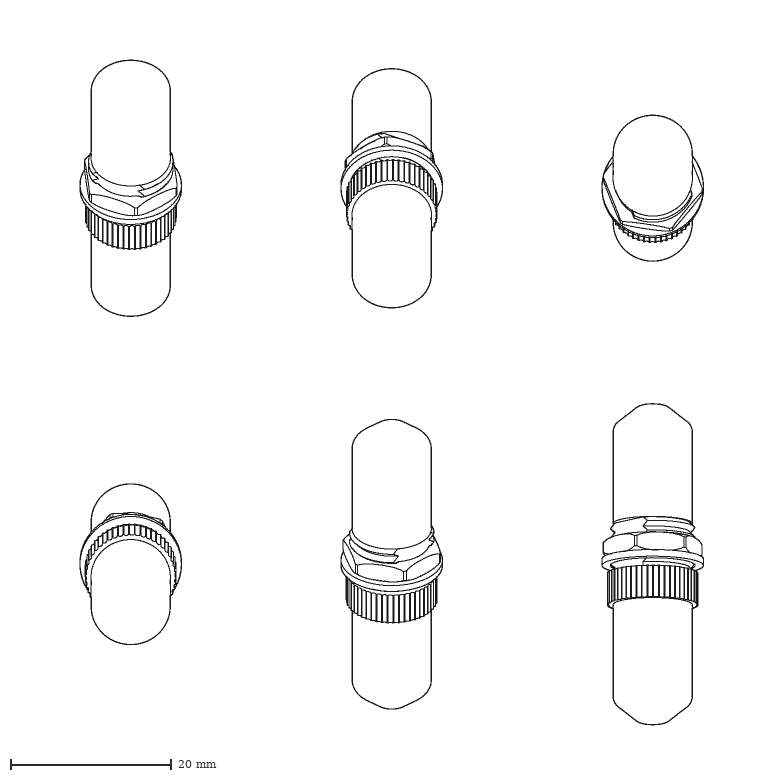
import cadquery as cq
import math


total_length = 40.25
body_length = 10.3
body_bottom = (total_length - body_length) / 2
body_top = body_bottom + body_length
cap_length = body_bottom

cap_radius = 4.95
cap_tip_radius = 1.15
cap_rounding = 1.5
cap_cone_angle = math.radians(39.0)

flange_radius = 5.68
flange_height = 4.0
flute_count = 50
flute_radius = 0.35
flute_depth = 0.15
flange_top = body_bottom + flange_height

thread_radius = 5.27
thread_depth = 0.55
thread_pitch = 1.2
groove_count = 3
core_radius = thread_radius - thread_depth
neck_length = 0.65
flat_half_width = 3.85

washer_bottom = 19.95
washer_thickness = 0.85
washer_diameter = 12.7
nut_bottom = washer_bottom + washer_thickness
nut_height = 2.45
nut_across_flats = 11.0
nut_corner_radius = 6.25
nut_face_radius = thread_radius
nut_bevel_height = 0.55
nut_bevel_bulge = 0.1


def make_cap():
    """Cap with a rounded cone end, open face at Z = 0, tip at +Z."""
    sin_cone = math.sin(cap_cone_angle)
    cos_cone = math.cos(cap_cone_angle)
    half_cone = cap_cone_angle / 2
    half_shoulder = (math.pi / 2 - cap_cone_angle) / 2

    tip_center_z = cap_length - cap_rounding
    tip_middle = (
        cap_tip_radius + cap_rounding * math.sin(half_cone),
        tip_center_z + cap_rounding * math.cos(half_cone),
    )
    cone_top = (
        cap_tip_radius + cap_rounding * sin_cone,
        tip_center_z + cap_rounding * cos_cone,
    )

    shoulder_center_r = cap_radius - cap_rounding
    cone_bottom_r = shoulder_center_r + cap_rounding * sin_cone
    cone_bottom_z = cone_top[1] - (cone_bottom_r - cone_top[0]) * math.tan(cap_cone_angle)
    shoulder_z = cone_bottom_z - cap_rounding * cos_cone
    shoulder_middle = (
        shoulder_center_r + cap_rounding * math.cos(half_shoulder),
        shoulder_z + cap_rounding * math.sin(half_shoulder),
    )

    return (
        cq.Workplane("XZ")
        .lineTo(cap_radius, 0)
        .lineTo(cap_radius, shoulder_z)
        .threePointArc(shoulder_middle, (cone_bottom_r, cone_bottom_z))
        .lineTo(*cone_top)
        .threePointArc(tip_middle, (cap_tip_radius, cap_length))
        .lineTo(0, cap_length)
        .close()
        .revolve(360, (0, 0), (0, 1))
    )


def make_thread():
    """Neck, thread and top bevel, with a flat on the -Y and the +Y side."""
    neck_top = flange_top + neck_length
    outline = [
        (0, flange_top),
        (core_radius, flange_top),
        (core_radius, neck_top),
        (thread_radius, neck_top + thread_depth),
    ]
    top_crest = body_top - thread_depth
    for groove in reversed(range(groove_count)):
        crest_above = top_crest - groove * thread_pitch
        outline += [
            (thread_radius, crest_above - thread_pitch),
            (core_radius, crest_above - thread_pitch / 2),
        ]
    outline += [(thread_radius, top_crest), (core_radius, body_top), (0, body_top)]

    thread = cq.Workplane("XZ").polyline(outline).close().revolve(360, (0, 0), (0, 1))
    between_flats = cq.Workplane("XY").box(
        2 * thread_radius, 2 * flat_half_width, 2 * total_length
    )
    return thread.intersect(between_flats)


def make_flange():
    """Knurled flange with straight flutes around its rim."""
    flange_base = cq.Workplane("XY").workplane(offset=body_bottom)
    flange = flange_base.circle(flange_radius).extrude(flange_height)
    flutes = (
        flange_base
        .polarArray(flange_radius + flute_radius - flute_depth, 180, 360, flute_count)
        .circle(flute_radius)
        .extrude(flange_height)
    )
    return flange.cut(flutes)


def make_body():
    return make_flange().union(make_thread())


def make_washer():
    return (
        cq.Workplane("XY")
        .workplane(offset=washer_bottom)
        .circle(washer_diameter / 2)
        .circle(thread_radius)
        .extrude(washer_thickness)
    )


def make_nut_envelope():
    """Round solid with a domed bevel at each end that trims the hexagon's corners."""
    nut_top = nut_bottom + nut_height
    bevel_middle_r = (nut_face_radius + nut_corner_radius) / 2
    bevel_middle_drop = nut_bevel_height / 2 - nut_bevel_bulge
    return (
        cq.Workplane("XZ")
        .moveTo(0, nut_bottom)
        .lineTo(nut_face_radius, nut_bottom)
        .threePointArc(
            (bevel_middle_r, nut_bottom + bevel_middle_drop),
            (nut_corner_radius, nut_bottom + nut_bevel_height),
        )
        .lineTo(nut_corner_radius, nut_top - nut_bevel_height)
        .threePointArc(
            (bevel_middle_r, nut_top - bevel_middle_drop),
            (nut_face_radius, nut_top),
        )
        .lineTo(0, nut_top)
        .close()
        .revolve(360, (0, 0), (0, 1))
    )


def make_nut():
    """Hexagon nut with corners on +X and -X, its bore shaped by the thread it sits on."""
    across_corners = nut_across_flats / math.cos(math.pi / 6)
    hexagon = (
        cq.Workplane("XY")
        .workplane(offset=nut_bottom)
        .polygon(6, across_corners)
        .circle(core_radius)
        .extrude(nut_height)
    )
    return hexagon.intersect(make_nut_envelope()).cut(make_thread())


body = make_body()
washer = make_washer()
nut = make_nut()
caps = [
    make_cap().translate((0, 0, body_top)),
    make_cap().rotate((0, 0, 0), (1, 0, 0), 180).translate((0, 0, body_bottom)),
]

result = cq.Compound.makeCompound([
    body.val(),
    washer.val(),
    nut.val(),
    *[cap.val() for cap in caps],
])